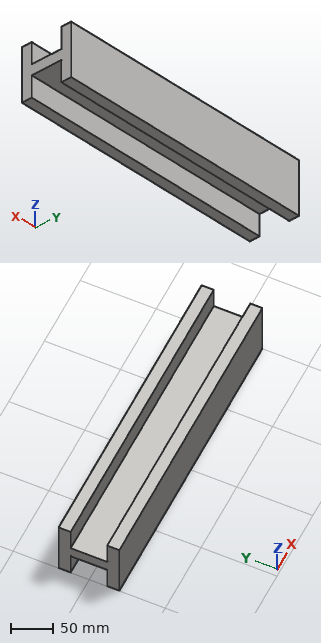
import cadquery as cq

length = 400
width = 80
height = 80

flange_thickness = 16
web_thickness = 16


def flange(side):
    """Upright plate along one long side; side is -1 or +1 in Y."""
    centre_y = side * (width - flange_thickness) / 2
    return cq.Workplane("XY").box(length, flange_thickness, height).translate((0, centre_y, 0))


web = cq.Workplane("XY").box(length, width - 2 * flange_thickness, web_thickness)
result = web.union(flange(-1)).union(flange(1))